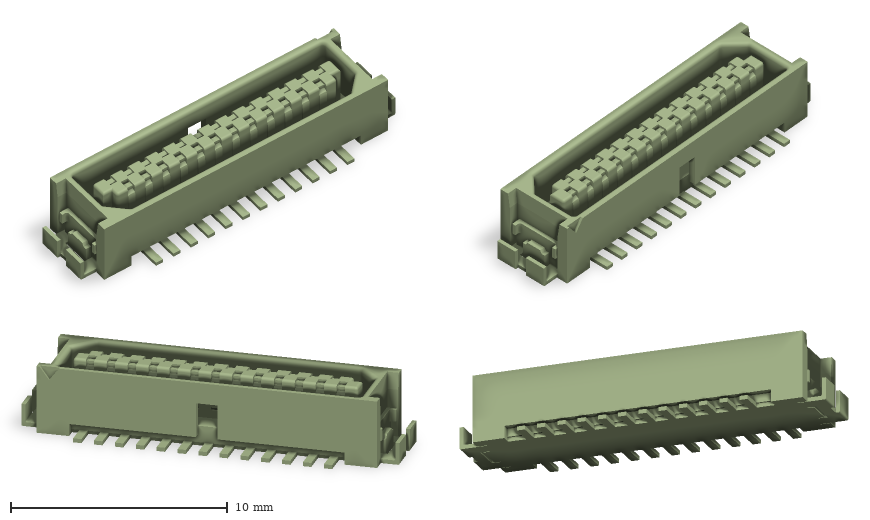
import cadquery as cq

PART_LENGTH = 18.1
LEAD_SPAN = 5.6
HEIGHT = 3.3
BODY_WIDTH = 4.2
BODY_LENGTH = 16.3

CAVITY_WIDTH = 3.4
CAVITY_LENGTH = 14.52
CAVITY_FLOOR = 1.01
CAVITY_CHAMFER = 0.95
CAVITY_CORNER_RADIUS = 0.18
RIM_RADIUS = 0.2

TONGUE_TOP = 3.28
TONGUE_HALF_WIDTH = 0.63
TONGUE_STEP_X = 0.22
TONGUE_LONG_SIDE = 13.63
TONGUE_SHORT_SIDE = 12.63
TONGUE_RADIUS = 0.15

LEFT_CONTACTS = 13
LEAD_ROW_LENGTH = 12.0
PITCH = LEAD_ROW_LENGTH / (LEFT_CONTACTS - 1)
RIGHT_CONTACTS = 12
CONTACT_WIDTH = 0.4
SHEET = 0.2
CHANNEL_BOTTOM = 1.41
CHANNEL_INNER_X = 0.063
LEG_INNER_X = 0.2
LEG_OUTER_X = 0.47
LEG_TOP_GAP = 0.1
BUMP_OUTER_X = 0.69
BUMP_CREST_X = 0.63
BUMP_TOP = 2.97
BUMP_CREST_Z = 2.85
BUMP_FACE_TOP = 2.57
BUMP_SLOPE_TOP = 1.55

FOOT_RECESS_LENGTH = 13.18
FOOT_RECESS_HEIGHT = 0.6
FOOT_STEP = 0.1
WINDOW_WIDTH = 1.05
WINDOW_TOP = 2.28
MARK_WIDTH = 0.92
MARK_HEIGHT = 0.62
MARK_DEPTH = 0.135
MARK_CENTER_Y = 7.55

NOTCH_WIDTH = 3.0
NOTCH_TOP_WIDTH = 3.24
NOTCH_BACK_Y = 7.65
NOTCH_TOP_BACK_Y = 7.6
NOTCH_FLARE_Z = 2.5
KEY_WIDTH = 1.38
KEY_SHOULDER_X = 0.5
KEY_CREST_X = 0.4
KEY_HEIGHT = 1.03
KEY_SHOULDER_DROP = 0.16

CLIP_PLATE_WIDTH = 2.7
CLIP_TOP = 1.63
CLIP_ARM_BOTTOM = 1.05
CLIP_FOOT_WIDTH = 2.91
CLIP_TAB_GAP = 0.67
CLIP_TAB_HEIGHT = 1.09
CLIP_SLOT_WIDTH = 1.48
CLIP_SLOT_END_Y = 8.29
CLIP_BEND_RADIUS = 0.07
CLIP_ARM_BEND_RADIUS = 0.1

HALF_BODY_X = BODY_WIDTH / 2
HALF_BODY_Y = BODY_LENGTH / 2
HALF_CAVITY_X = CAVITY_WIDTH / 2
HALF_CAVITY_Y = CAVITY_LENGTH / 2
HALF_PART_Y = PART_LENGTH / 2


def block(x_min, x_max, y_min, y_max, z_min, z_max):
    size = (x_max - x_min, y_max - y_min, z_max - z_min)
    return cq.Workplane("XY").box(*size, centered=False).translate((x_min, y_min, z_min))


def centered_block(width, y_min, y_max, z_min, z_max):
    return block(-width / 2, width / 2, y_min, y_max, z_min, z_max)


def extrude_along_y(points, y_min, y_max):
    """Extrude an outline of (x, z) points from y_min to y_max."""
    return cq.Workplane("XZ", origin=(0, y_max, 0)).polyline(points).close().extrude(y_max - y_min)


def both_ends(shape):
    return shape.union(shape.mirror("XZ"))


def row_positions(count):
    return [PITCH * (index - (count - 1) / 2) for index in range(count)]


def cavity():
    """Pocket with two large chamfered corners on +X, small radii elsewhere."""
    depth = HEIGHT - CAVITY_FLOOR
    pocket = cq.Workplane("XY", origin=(0, 0, CAVITY_FLOOR)).rect(CAVITY_WIDTH, CAVITY_LENGTH).extrude(depth)
    pocket = pocket.edges("|Z and >X").chamfer(CAVITY_CHAMFER)
    return pocket.edges("|Z").fillet(CAVITY_CORNER_RADIUS)


def end_notch():
    """Slot in the +Y end wall, flaring towards the top."""
    straight = centered_block(NOTCH_WIDTH, NOTCH_BACK_Y, HALF_BODY_Y, 0, NOTCH_FLARE_Z)
    lower_depth = HALF_BODY_Y - NOTCH_BACK_Y
    upper_depth = HALF_BODY_Y - NOTCH_TOP_BACK_Y
    flare = (
        cq.Workplane("XY", origin=(0, HALF_BODY_Y - lower_depth / 2, NOTCH_FLARE_Z))
        .rect(NOTCH_WIDTH, lower_depth)
        .workplane(offset=HEIGHT - NOTCH_FLARE_Z)
        .center(0, (lower_depth - upper_depth) / 2)
        .rect(NOTCH_TOP_WIDTH, upper_depth)
        .loft(ruled=True)
    )
    return straight.union(flare)


def end_key():
    """Stepped block on the notch back wall that fills the slot of the clip."""
    half = KEY_WIDTH / 2
    shoulder = KEY_HEIGHT - KEY_SHOULDER_DROP
    right_side = [(half, 0), (half, shoulder), (KEY_SHOULDER_X, shoulder), (KEY_CREST_X, KEY_HEIGHT)]
    left_side = [(-x, z) for x, z in reversed(right_side)]
    return extrude_along_y(right_side + left_side, NOTCH_BACK_Y, HALF_BODY_Y)


def side_recess():
    """Clearance over the leads along the -X wall, with a stepped inner face."""
    half = FOOT_RECESS_LENGTH / 2
    recess = block(-HALF_BODY_X, -HALF_CAVITY_X, -half, half, 0, FOOT_RECESS_HEIGHT)
    step = block(-HALF_CAVITY_X, FOOT_STEP - HALF_CAVITY_X, -half, half, 0, SHEET)
    return recess.union(step)


def pin_one_mark():
    """Triangular dent at the top of the -X wall."""
    half = MARK_WIDTH / 2
    return (
        cq.Workplane("YZ", origin=(-HALF_BODY_X, MARK_CENTER_Y, 0))
        .polyline([(-half, HEIGHT), (half, HEIGHT), (0, HEIGHT - MARK_HEIGHT)])
        .close()
        .extrude(MARK_DEPTH)
    )


def tongue():
    """Ridge with a shorter +X half; its outer corners and top edges are rounded."""
    half_long = TONGUE_LONG_SIDE / 2
    half_short = TONGUE_SHORT_SIDE / 2
    outline = [
        (-TONGUE_HALF_WIDTH, -half_long),
        (TONGUE_STEP_X, -half_long),
        (TONGUE_STEP_X, -half_short),
        (TONGUE_HALF_WIDTH, -half_short),
        (TONGUE_HALF_WIDTH, half_short),
        (TONGUE_STEP_X, half_short),
        (TONGUE_STEP_X, half_long),
        (-TONGUE_HALF_WIDTH, half_long),
    ]
    ridge = cq.Workplane("XY", origin=(0, 0, CAVITY_FLOOR)).polyline(outline).close()
    ridge = ridge.extrude(TONGUE_TOP - CAVITY_FLOOR)
    for side in ("<X", ">X"):
        ridge = ridge.edges("|Z and " + side).fillet(TONGUE_RADIUS)
    return ridge.faces(">Z").edges().fillet(TONGUE_RADIUS)


def contact_channel(y):
    """Groove for one contact in the -X side of the tongue."""
    half = CONTACT_WIDTH / 2
    return block(-BUMP_OUTER_X, -CHANNEL_INNER_X, y - half, y + half, CHANNEL_BOTTOM, HEIGHT)


def contact(y):
    """Contact leg on the -X side, with a rounded bump standing out of the tongue."""
    crest_run = BUMP_OUTER_X - BUMP_CREST_X
    crest_rise = BUMP_CREST_Z - BUMP_FACE_TOP
    bump_radius = (crest_run**2 + crest_rise**2) / (2 * crest_run)
    slope_run = BUMP_SLOPE_TOP - CHANNEL_BOTTOM
    return (
        cq.Workplane("XZ", origin=(0, y + CONTACT_WIDTH / 2, 0))
        .moveTo(-LEG_INNER_X, CHANNEL_BOTTOM)
        .lineTo(-LEG_INNER_X, TONGUE_TOP - LEG_TOP_GAP)
        .lineTo(-LEG_OUTER_X, TONGUE_TOP - LEG_TOP_GAP)
        .lineTo(-LEG_OUTER_X, BUMP_TOP)
        .lineTo(-BUMP_CREST_X, BUMP_CREST_Z)
        .radiusArc((-BUMP_OUTER_X, BUMP_FACE_TOP), -bump_radius)
        .lineTo(-BUMP_OUTER_X, BUMP_SLOPE_TOP)
        .lineTo(slope_run - BUMP_OUTER_X, CHANNEL_BOTTOM)
        .close()
        .extrude(CONTACT_WIDTH)
    )


def lead(y):
    """Flat solder lead reaching out on -X from the foot of the body."""
    half = CONTACT_WIDTH / 2
    return block(-LEAD_SPAN / 2, FOOT_STEP - HALF_CAVITY_X, y - half, y + half, 0, SHEET)


def solder_clip():
    """Bent sheet clip on the +Y end: wall plate with arms, slotted foot, two upright tabs."""
    half_plate = CLIP_PLATE_WIDTH / 2
    half_inside = half_plate - SHEET
    plate_front_y = NOTCH_BACK_Y + SHEET
    tab_inner_y = HALF_PART_Y - SHEET

    arms = centered_block(CLIP_PLATE_WIDTH, NOTCH_BACK_Y, HALF_BODY_Y, CLIP_ARM_BOTTOM, CLIP_TOP)
    opening = centered_block(2 * half_inside, plate_front_y, HALF_BODY_Y, CLIP_ARM_BOTTOM, CLIP_TOP)
    arms = arms.cut(opening.edges("|Z and <Y").fillet(CLIP_ARM_BEND_RADIUS))
    plate = centered_block(CLIP_PLATE_WIDTH, NOTCH_BACK_Y, plate_front_y, 0, CLIP_TOP)

    foot = centered_block(CLIP_FOOT_WIDTH, NOTCH_BACK_Y, HALF_PART_Y, 0, CLIP_TAB_HEIGHT)
    foot = foot.faces("<Z").edges(">Y").fillet(CLIP_BEND_RADIUS)
    hollow = centered_block(CLIP_FOOT_WIDTH, NOTCH_BACK_Y, tab_inner_y, SHEET, CLIP_TAB_HEIGHT)
    foot = foot.cut(hollow.edges("|X and >Y and <Z").fillet(CLIP_BEND_RADIUS))
    foot = foot.cut(centered_block(CLIP_TAB_GAP, tab_inner_y, HALF_PART_Y, 0, CLIP_TAB_HEIGHT))
    foot = foot.cut(centered_block(CLIP_TAB_GAP, NOTCH_BACK_Y, tab_inner_y, SHEET, CLIP_TAB_HEIGHT))

    bend_end_y = plate_front_y + CLIP_BEND_RADIUS
    bend = centered_block(2 * half_inside, plate_front_y, bend_end_y, SHEET, SHEET + CLIP_BEND_RADIUS)
    bend = bend.cut(
        cq.Workplane("YZ", origin=(-half_inside, bend_end_y, SHEET + CLIP_BEND_RADIUS))
        .circle(CLIP_BEND_RADIUS)
        .extrude(2 * half_inside)
    )
    foot = foot.union(bend)
    slot = centered_block(CLIP_SLOT_WIDTH, plate_front_y, CLIP_SLOT_END_Y, 0, CLIP_TAB_HEIGHT)
    return arms.union(plate).union(foot.cut(slot))


body = centered_block(BODY_WIDTH, -HALF_BODY_Y, HALF_BODY_Y, 0, HEIGHT)
body = body.cut(cavity())
MARGIN = 0.02
rim = cq.selectors.BoxSelector(
    (-HALF_CAVITY_X - MARGIN, -HALF_CAVITY_Y - MARGIN, HEIGHT - MARGIN),
    (HALF_CAVITY_X + MARGIN, HALF_CAVITY_Y + MARGIN, HEIGHT + MARGIN),
)
body = body.edges(rim).fillet(RIM_RADIUS)

body = body.cut(both_ends(end_notch()))
body = body.union(both_ends(end_key()))
body = body.cut(side_recess()).cut(side_recess().mirror("YZ"))
body = body.cut(block(-HALF_BODY_X, -HALF_CAVITY_X, -WINDOW_WIDTH / 2, WINDOW_WIDTH / 2, 0, WINDOW_TOP))
body = body.cut(pin_one_mark())
body = body.union(tongue())

for y in row_positions(LEFT_CONTACTS):
    body = body.cut(contact_channel(y)).union(contact(y)).union(lead(y))
for y in row_positions(RIGHT_CONTACTS):
    body = body.cut(contact_channel(y).mirror("YZ"))
    body = body.union(contact(y).mirror("YZ")).union(lead(y).mirror("YZ"))

result = body.union(both_ends(solder_clip()))